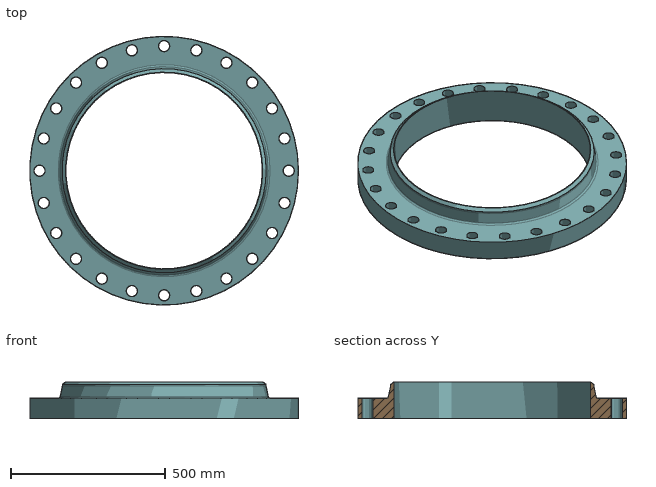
import cadquery as cq
import math

flange_diameter = 869.95
flange_thickness = 66.7
bore_diameter = 635.0

overall_height = 119.13
hub_base_diameter = 676.1
neck_diameter = 660.4
neck_length = 14.3
hub_root_fillet = 6.0
selection_margin = 1.0

weld_land_width = 1.6
bevel_angle = 37.5

bolt_count = 24
bolt_circle_diameter = 806.45
bolt_hole_diameter = 35.05

flange_radius = flange_diameter / 2
bore_radius = bore_diameter / 2
hub_base_radius = hub_base_diameter / 2
neck_radius = neck_diameter / 2
land_radius = bore_radius + weld_land_width
bevel_height = (neck_radius - land_radius) * math.tan(math.radians(bevel_angle))
neck_start_height = overall_height - neck_length
bevel_start_height = overall_height - bevel_height


def make_flange_ring():
    return (
        cq.Workplane("XY")
        .circle(flange_radius)
        .circle(bore_radius)
        .extrude(flange_thickness)
    )


def make_hub():
    """Tapered hub with a short straight neck and a bevelled welding end."""
    half_section = [
        (bore_radius, 0),
        (hub_base_radius, 0),
        (hub_base_radius, flange_thickness),
        (neck_radius, neck_start_height),
        (neck_radius, bevel_start_height),
        (land_radius, overall_height),
        (bore_radius, overall_height),
    ]
    return cq.Workplane("XZ").polyline(half_section).close().revolve(360, (0, 0), (0, 1))


def fillet_hub_root(body):
    """Round the inside corner where the hub rises from the flange face."""
    reach = (hub_base_radius + flange_radius) / 2
    lower_corner = (-reach, -reach, flange_thickness - selection_margin)
    upper_corner = (reach, reach, flange_thickness + selection_margin)
    root_edge = cq.selectors.BoxSelector(lower_corner, upper_corner, boundingbox=True)
    return body.edges(root_edge).fillet(hub_root_fillet)


def make_bolt_holes():
    return (
        cq.Workplane("XY")
        .polarArray(bolt_circle_diameter / 2, 0, 360, bolt_count)
        .circle(bolt_hole_diameter / 2)
        .extrude(flange_thickness)
    )


flange_with_hub = fillet_hub_root(make_flange_ring().union(make_hub()))
result = flange_with_hub.cut(make_bolt_holes())